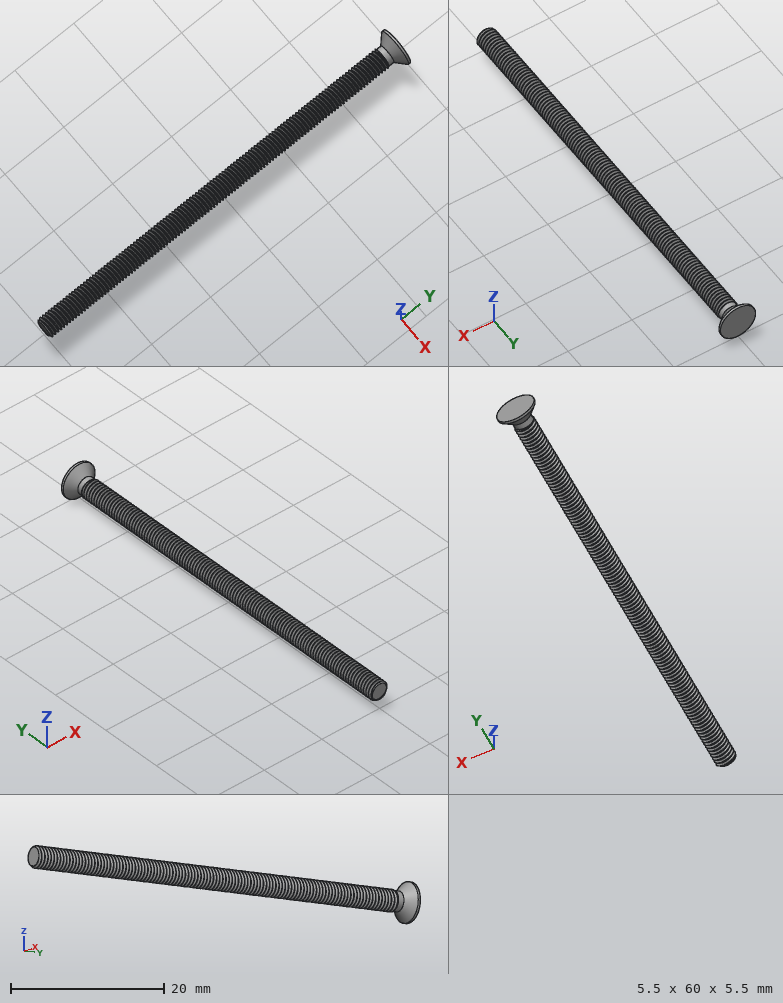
import cadquery as cq

length = 60.0

head_diameter = 5.5
rim_thickness = 0.35
head_height = 1.7

neck_diameter = 2.75
neck_end = 2.5

thread_diameter = 3.0
root_diameter = 2.4
turn_count = 115
crest_share = 1 / 8
flank_share = 3 / 8
start_angle = 180.0
tip_chamfer = 0.25

disc_margin = 0.1
surface_turns = range(-2, 2)

pitch = (length - neck_end) / turn_count
thread_radius = thread_diameter / 2
root_radius = root_diameter / 2
tip_radius = thread_radius - tip_chamfer


def make_thread_surface():
    """Right-handed thread surface of several turns, ruled between the helices of crest and root."""
    crest_half = pitch * crest_share / 2
    root_half = pitch * (crest_share / 2 + flank_share)
    profile = [
        (thread_radius, -crest_half),
        (thread_radius, crest_half),
        (root_radius, root_half),
        (root_radius, pitch - root_half),
        (thread_radius, pitch - crest_half),
    ]
    helices = []
    for radius, height in profile:
        helix = cq.Wire.makeHelix(pitch, pitch, radius)
        helices.append(helix.translate(cq.Vector(0, 0, height)).Edges()[0])
    strips = [cq.Face.makeRuledSurface(lower, upper) for lower, upper in zip(helices, helices[1:])]
    faces = []
    for turn in surface_turns:
        faces += [strip.translate(cq.Vector(0, 0, turn * pitch)) for strip in strips]
    return cq.Shell.makeShell(faces)


def make_turn():
    """Threaded rod exactly one pitch long, with flat ends, cut from a disc by the thread surface."""
    disc = cq.Workplane("XY").circle(thread_radius + disc_margin).extrude(pitch)
    pieces = disc.val().split(make_thread_surface()).Solids()
    core = min(pieces, key=lambda piece: piece.BoundingBox().xlen)
    return cq.Workplane(core).rotate((0, 0, 0), (0, 0, 1), start_angle)


def make_head():
    """Countersunk head and neck."""
    outline = [
        (0, 0),
        (head_diameter / 2, 0),
        (head_diameter / 2, rim_thickness),
        (neck_diameter / 2, head_height),
        (neck_diameter / 2, neck_end),
        (0, neck_end),
    ]
    profile = cq.Workplane("XZ").polyline(outline).close()
    return profile.revolve(360, (0, 0, 0), (0, 1, 0))


def make_tip_limit():
    """Cone that chamfers the last turn, widening at 45 degrees away from the tip."""
    cone = cq.Solid.makeCone(tip_radius + pitch, tip_radius, pitch)
    return cq.Workplane(cone)


def make_screw():
    """Join head, turns and tip by their outer faces, leaving out the faces between turns."""
    turn = make_turn()
    first = make_head().union(turn.translate((0, 0, neck_end)))
    last = turn.intersect(make_tip_limit()).translate((0, 0, length - pitch))
    faces = first.faces("not >Z").vals() + last.faces("not <Z").vals()
    turn_sides = turn.faces("not |Z")
    for index in range(1, turn_count - 1):
        faces += turn_sides.translate((0, 0, neck_end + index * pitch)).vals()
    return cq.Workplane(cq.Solid.makeSolid(cq.Shell.makeShell(faces)))


result = make_screw().rotate((0, 0, 0), (1, 0, 0), 90)